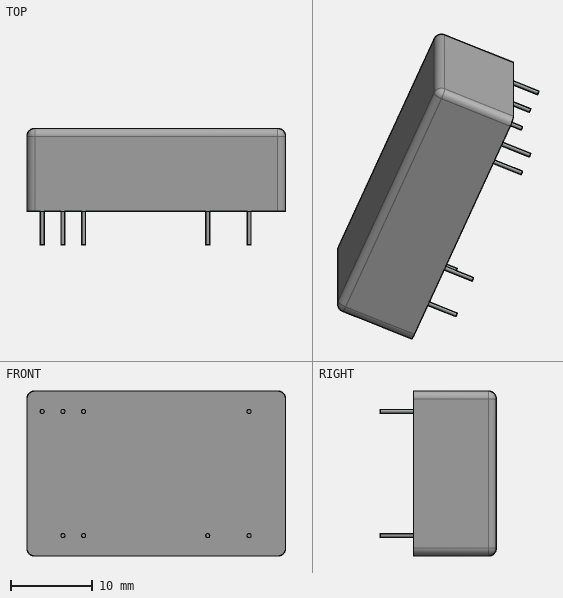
import cadquery as cq

case_width = 31.8
case_height = 20.3
case_depth = 10.2
edge_radius = 1.0

pitch = 2.54
pin_diameter = 0.5
pin_length = 4.1
first_pin_inset = 1.9
first_column_x = first_pin_inset - case_width / 2
row_spacing = 6 * pitch

upper_columns = [0, 1, 2, 10]
lower_columns = [1, 2, 8, 10]


def make_case():
    """Box with its pin face at Y = 0, rounded everywhere but around that face."""
    box = cq.Workplane("XY").box(
        case_width, case_depth, case_height, centered=(True, False, True)
    )
    return box.edges("|Y or >Y").fillet(edge_radius)


def make_pin_row(columns, row_z):
    """One row of pins at height row_z, pointing toward -Y from the pin face."""
    centres = [(first_column_x + column * pitch, row_z) for column in columns]
    return (
        cq.Workplane("XZ")
        .pushPoints(centres)
        .circle(pin_diameter / 2)
        .extrude(pin_length)
    )


upper_pins = make_pin_row(upper_columns, row_spacing / 2)
lower_pins = make_pin_row(lower_columns, -row_spacing / 2)
result = make_case().union(upper_pins).union(lower_pins)